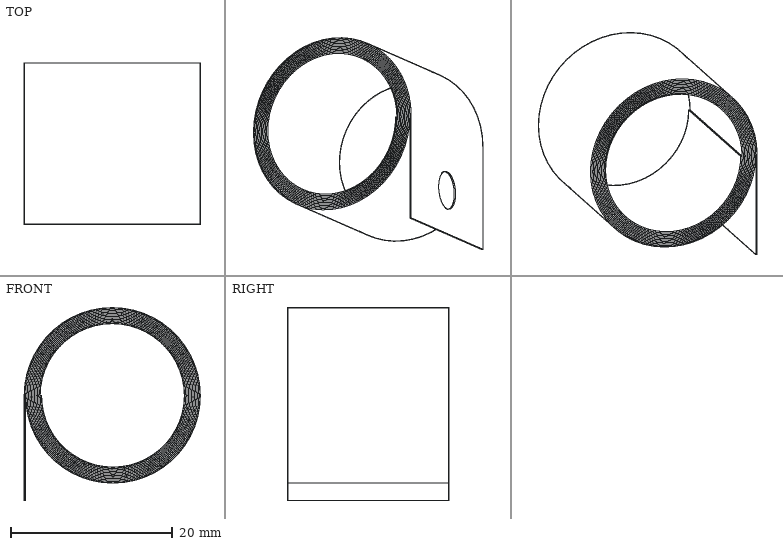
import cadquery as cq

STRIP_WIDTH = 20.0
COIL_RADIUS = 10.92
PITCH = 0.18
COIL_GAP = 0.0002
TURNS = 11
TAIL_LENGTH = 13.0
HOLE_DIAMETER = 4.7
HOLE_DROP = 7.5

STRIP_THICKNESS = PITCH - COIL_GAP


def half_turns(start_radius):
    """Half circles (start, middle, end) that wind inwards clockwise from (-start_radius, 0).

    Upper halves are centred on the coil axis. Lower halves are centred half a pitch to its +X
    side, so that each turn ends one pitch further in than it began.
    """
    arcs = []
    for turn in range(TURNS):
        radius = start_radius - turn * PITCH
        lower_radius = radius - PITCH / 2
        left = (-radius, 0)
        right = (radius, 0)
        next_left = (PITCH - radius, 0)
        arcs.append((left, (0, radius), right))
        arcs.append((right, (PITCH / 2, -lower_radius), next_left))
    return arcs


def make_strip():
    """Tail and coil as one extrusion: up the outer side, inwards, and back along the inner side."""
    inner_side_radius = COIL_RADIUS - STRIP_THICKNESS
    outer_side = half_turns(COIL_RADIUS)
    inner_side = half_turns(inner_side_radius)

    outline = cq.Workplane("XZ", origin=(0, STRIP_WIDTH / 2, 0))
    outline = outline.moveTo(-COIL_RADIUS, -TAIL_LENGTH).lineTo(-COIL_RADIUS, 0)
    for _, middle, end in outer_side:
        outline = outline.threePointArc(middle, end)

    _, _, inner_end = inner_side[-1]
    outline = outline.lineTo(*inner_end)
    for start, middle, _ in reversed(inner_side):
        outline = outline.threePointArc(middle, start)

    return outline.lineTo(-inner_side_radius, -TAIL_LENGTH).close().extrude(STRIP_WIDTH)


def make_tail_hole():
    """Cutter through the tail only, reaching one strip thickness past each side of it."""
    return (
        cq.Workplane("YZ", origin=(-COIL_RADIUS - STRIP_THICKNESS, 0, -HOLE_DROP))
        .circle(HOLE_DIAMETER / 2)
        .extrude(3 * STRIP_THICKNESS)
    )


result = make_strip().cut(make_tail_hole())